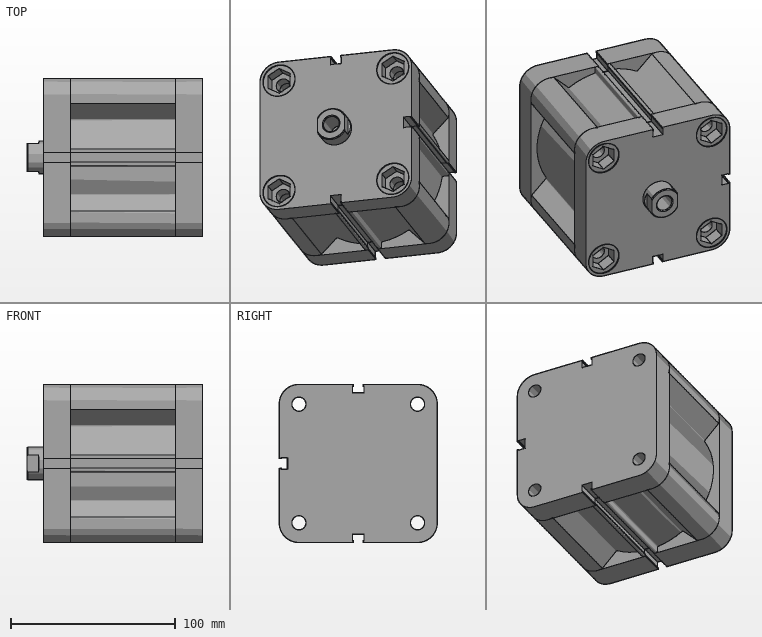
import cadquery as cq
import math

side = 96.0
half_side = side / 2
total_length = 106.5
cap_length = 16.5
rod_reach = 10.0
body_length = total_length - rod_reach
barrel_start = cap_length
barrel_end = body_length - cap_length
barrel_length = barrel_end - barrel_start

corner_radius = 12.0
screw_place = half_side - corner_radius

through_hole_diameter = 8.4
seat_radius = 10.1
seat_step_radius = 10.0
seat_upper_depth = 0.4
seat_depth = 0.6
hex_across_flats = 14.0
hex_depth = 8.0

slot_sides = (0, 90, 180)
cap_mouth_half = 3.0
barrel_mouth_half = 2.9
slot_inner_half = 3.4
cap_slot_depth = 5.3
cap_lip = 1.0
barrel_slot_depth = 4.9
barrel_lip = 1.4
slot_mouth_rounding = 0.5

core_radius = 44.0
web_half_width = 10.5
rail_half_width = 5.2
section_rounding = 1.0

rod_radius = 10.0
rod_chamfer = 0.5
flats_width = 17.0
flats_length = 7.0
flats_end_run = 0.4
bore_diameter = 9.9
bore_mouth_diameter = 11.1
bore_depth = 17.0
drill_point_angle = 118


def section(x):
    """Workplane across the cylinder axis at x, with Y and Z as its own axes."""
    return cq.Workplane("YZ", origin=(x, 0, 0))


def turned(shape, angle):
    """Turn a shape about the cylinder axis."""
    return shape.rotate((0, 0, 0), (1, 0, 0), angle)


def screw_points():
    return [(y, z) for y in (-screw_place, screw_place) for z in (-screw_place, screw_place)]


def slot_cutter(x, length, mouth_half, depth, lip):
    """T-slot in the top side: a narrow mouth above a slightly wider channel."""
    outline = [
        (mouth_half, half_side),
        (mouth_half, half_side - lip),
        (slot_inner_half, half_side - lip),
        (slot_inner_half, half_side - depth),
    ]
    mirrored = [(-y, z) for y, z in reversed(outline)]
    return section(x).polyline(outline + mirrored).close().extrude(length)


def through_holes(x, length):
    return section(x).pushPoints(screw_points()).circle(through_hole_diameter / 2).extrude(length)


def make_cap(x):
    """Square end cap with rounded corners, screw holes and three sensor slots."""
    cap = section(x).rect(side, side).extrude(cap_length).edges("|X").fillet(corner_radius)
    slot = slot_cutter(x, cap_length, cap_mouth_half, cap_slot_depth, cap_lip)
    for angle in slot_sides:
        cap = cap.cut(turned(slot, angle))
    return cap.cut(through_holes(x, cap_length))


def cut_screw_seats(cap):
    """Shallow stepped round seats, each with a hexagon socket, in the front face."""
    hex_corner_diameter = hex_across_flats / math.cos(math.radians(30))
    points = screw_points()
    upper_seats = section(0).pushPoints(points).circle(seat_radius).extrude(seat_upper_depth)
    lower_seats = section(0).pushPoints(points).circle(seat_step_radius).extrude(seat_depth)
    socket = section(0).polygon(6, hex_corner_diameter).extrude(seat_depth + hex_depth)
    cap = cap.cut(upper_seats).cut(lower_seats)
    for y, z in points:
        cap = cap.cut(turned(socket, 90).translate((0, y, z)))
    return cap


def make_front_cap():
    rod_hole = section(0).circle(rod_radius).extrude(cap_length)
    return cut_screw_seats(make_cap(0)).cut(rod_hole)


def diagonal_web():
    """Bar along Y with a round lobe at each end."""
    lobe_centre = screw_place * math.sqrt(2)
    lobe_tip = lobe_centre + corner_radius
    arc_start = lobe_centre + math.sqrt(corner_radius**2 - web_half_width**2)
    return (
        section(barrel_start)
        .moveTo(arc_start, -web_half_width)
        .threePointArc((lobe_tip, 0), (arc_start, web_half_width))
        .lineTo(-arc_start, web_half_width)
        .threePointArc((-lobe_tip, 0), (-arc_start, -web_half_width))
        .close()
        .extrude(barrel_length)
    )


def round_barrel_edge(barrel, y, z, angle, radius):
    """Round the lengthwise edge at (y, z) of the top side, turned to another side."""
    turn = math.radians(angle)
    edge_y = y * math.cos(turn) - z * math.sin(turn)
    edge_z = y * math.sin(turn) + z * math.cos(turn)
    middle = (barrel_start + barrel_length / 2, edge_y, edge_z)
    return barrel.edges("|X").edges(cq.NearestToPointSelector(middle)).fillet(radius)


def make_barrel():
    """Round core with four lobed corner webs and three slotted rails."""
    barrel = section(barrel_start).circle(core_radius).extrude(barrel_length)
    for angle in (45, 135):
        barrel = barrel.union(turned(diagonal_web(), angle))

    web_corner = math.asin(web_half_width / core_radius) + math.radians(45)
    corner_y = core_radius * math.cos(web_corner)
    corner_z = core_radius * math.sin(web_corner)
    for angle in (0, 90, 180, 270):
        for y in (-corner_y, corner_y):
            barrel = round_barrel_edge(barrel, y, corner_z, angle, section_rounding)

    rail = section(barrel_start).center(0, half_side / 2).rect(2 * rail_half_width, half_side)
    rail = rail.extrude(barrel_length)
    rail_foot = math.sqrt(core_radius**2 - rail_half_width**2)
    slot = slot_cutter(barrel_start, barrel_length, barrel_mouth_half, barrel_slot_depth, barrel_lip)
    for angle in slot_sides:
        barrel = barrel.union(turned(rail, angle))
        for y in (-rail_half_width, rail_half_width):
            barrel = round_barrel_edge(barrel, y, rail_foot, angle, section_rounding)
            barrel = round_barrel_edge(barrel, y, half_side, angle, section_rounding)
        barrel = barrel.cut(turned(slot, angle))
        for y in (-barrel_mouth_half, barrel_mouth_half):
            barrel = round_barrel_edge(barrel, y, half_side, angle, slot_mouth_rounding)

    return barrel.cut(through_holes(barrel_start, barrel_length))


def make_piston_rod():
    """Rod end with two wrench flats and a drilled bore with a countersunk mouth."""
    tip = -rod_reach
    rod = section(tip).circle(rod_radius).extrude(rod_reach + cap_length)
    rod = rod.faces("<X").chamfer(rod_chamfer)

    flat_y = flats_width / 2
    flat_end = tip + flats_length
    flat = (
        cq.Workplane("XY", origin=(0, 0, -rod_radius))
        .polyline([
            (tip, flat_y),
            (flat_end, flat_y),
            (flat_end + flats_end_run, rod_radius),
            (tip, rod_radius),
        ])
        .close()
        .extrude(2 * rod_radius)
    )
    rod = rod.cut(flat).cut(flat.mirror("XZ"))

    bore_radius = bore_diameter / 2
    mouth_radius = bore_mouth_diameter / 2
    point_length = bore_radius / math.tan(math.radians(drill_point_angle / 2))
    bore = (
        cq.Workplane("XY")
        .polyline([
            (tip, 0),
            (tip, mouth_radius),
            (tip + mouth_radius - bore_radius, bore_radius),
            (tip + bore_depth, bore_radius),
            (tip + bore_depth + point_length, 0),
        ])
        .close()
        .revolve(360, (0, 0, 0), (1, 0, 0))
    )
    return rod.cut(bore)


front_cap = make_front_cap()
rear_cap = make_cap(barrel_end)
barrel = make_barrel()
piston_rod = make_piston_rod()

result = cq.Compound.makeCompound([
    front_cap.val(),
    rear_cap.val(),
    barrel.val(),
    piston_rod.val(),
])